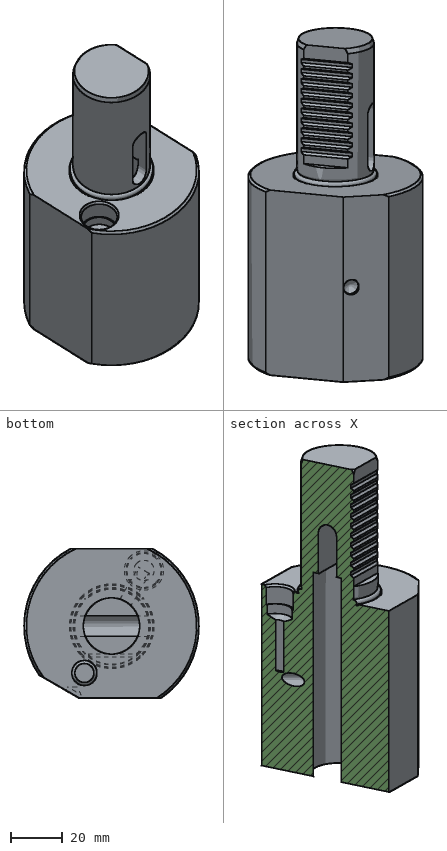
import cadquery as cq
import math


BODY_RADIUS = 33.9
BODY_HEIGHT = 75.0
BODY_CHAMFER = 0.9
BACK_FLAT_Y = 28.0
FRONT_FLAT_Y = -30.0
SLANT_FLAT_DISTANCE = 30.5
COOLANT_ANGLE = 120.0

SHANK_RADIUS = 15.0
SHANK_LENGTH = 55.1
SHANK_CHAMFER_WIDTH = 0.7
SHANK_CHAMFER_HEIGHT = 2.0
SHANK_FLAT_Y = 12.0
SHANK_FLAT_BOTTOM = 7.0

TOOTH_PITCH = 4.0
TOOTH_COUNT = 10
TOOTH_DEPTH = 1.25
FIRST_VALLEY_DROP = 7.1
VALLEY_MOUTH = 3.0
VALLEY_FLOOR = 1.3

RING_TUBE_RADIUS = 1.25
RING_CENTER_RADIUS = 14.9
RING_CENTER_Z = 0.3
RING_SEAT_RADIUS = 16.5
RING_SEAT_DEPTH = 0.5
RELIEF_TOP = 2.4
RELIEF_BOTTOM = 1.5
RELIEF_DEPTH = 0.3

SLOT_WIDTH = 8.0
SLOT_BOTTOM = 3.0
SLOT_LENGTH = 27.0
BORE_RADIUS = 10.9
BORE_TOP = 9.2

INLET_DISTANCE = 25.0
INLET_RADIUS = 7.0
INLET_RIM_WIDTH = 0.7
INLET_RIM_HEIGHT = 0.9
INLET_DEPTH = 7.9
PILOT_RADIUS = 6.6
PILOT_DEPTH = 11.8
PASSAGE_RADIUS = 4.0
DRILL_POINT_ANGLE = 118.0
DRILL_POINT_SLOPE = 1 / math.tan(math.radians(DRILL_POINT_ANGLE / 2))

CROSS_Z = -36.7
CROSS_RADIUS = 2.5
PLUG_RADIUS = 3.0
PLUG_DEPTH = 1.6

NOZZLE_DISTANCE = 21.0
NOZZLE_BASE_RADIUS = 4.9
NOZZLE_TIP_RADIUS = 3.7
NOZZLE_HEIGHT = 1.5

COOLANT_X = math.cos(math.radians(COOLANT_ANGLE))
COOLANT_Y = math.sin(math.radians(COOLANT_ANGLE))


def revolved(points):
    """Solid of revolution about Z from (radius, z) points."""
    return cq.Workplane("XZ").polyline(points).close().revolve(360, (0, 0, 0), (0, 1, 0))


def make_body():
    body = cq.Workplane("XY").circle(BODY_RADIUS).extrude(-BODY_HEIGHT)
    body = body.edges("%CIRCLE").chamfer(BODY_CHAMFER)
    width = 2 * BODY_RADIUS
    flats = (
        cq.Workplane("XY")
        .center(0, (BACK_FLAT_Y + FRONT_FLAT_Y) / 2)
        .rect(2 * width, BACK_FLAT_Y - FRONT_FLAT_Y)
        .extrude(-BODY_HEIGHT)
    )
    slant = (
        cq.Workplane("XY")
        .center(SLANT_FLAT_DISTANCE - width, 0)
        .rect(2 * width, 2 * width)
        .extrude(-BODY_HEIGHT)
        .rotate((0, 0, 0), (0, 0, 1), COOLANT_ANGLE)
    )
    ring_seat = cq.Workplane("XY").circle(RING_SEAT_RADIUS).extrude(-RING_SEAT_DEPTH)
    return body.intersect(flats).intersect(slant).cut(ring_seat)


def make_shank():
    relief_radius = SHANK_RADIUS - RELIEF_DEPTH
    shank = revolved([
        (0, -RING_SEAT_DEPTH),
        (relief_radius, -RING_SEAT_DEPTH),
        (relief_radius, RELIEF_BOTTOM),
        (SHANK_RADIUS, RELIEF_TOP),
        (SHANK_RADIUS, SHANK_LENGTH - SHANK_CHAMFER_HEIGHT),
        (SHANK_RADIUS - SHANK_CHAMFER_WIDTH, SHANK_LENGTH),
        (0, SHANK_LENGTH),
    ])
    flat_cut = cq.Workplane("XY").box(
        2 * SHANK_RADIUS, SHANK_RADIUS, SHANK_LENGTH, centered=(True, False, False)
    )
    return shank.cut(flat_cut.translate((0, SHANK_FLAT_Y, SHANK_FLAT_BOTTOM)))


def make_tooth_valleys():
    """Trapezoid grooves across the shank flat."""
    floor_y = SHANK_FLAT_Y - TOOTH_DEPTH
    valley = (
        cq.Workplane("YZ")
        .polyline([
            (SHANK_FLAT_Y, -VALLEY_MOUTH / 2),
            (floor_y, -VALLEY_FLOOR / 2),
            (floor_y, VALLEY_FLOOR / 2),
            (SHANK_FLAT_Y, VALLEY_MOUTH / 2),
        ])
        .close()
        .extrude(SHANK_RADIUS, both=True)
    )
    first_z = SHANK_LENGTH - FIRST_VALLEY_DROP
    valleys = cq.Workplane("XY")
    for index in range(TOOTH_COUNT):
        valleys = valleys.add(valley.translate((0, 0, first_z - index * TOOTH_PITCH)))
    return valleys.combine()


def make_seal_ring():
    return (
        cq.Workplane("XZ")
        .center(RING_CENTER_RADIUS, RING_CENTER_Z)
        .circle(RING_TUBE_RADIUS)
        .revolve(360, (-RING_CENTER_RADIUS, 0, 0), (-RING_CENTER_RADIUS, 1, 0))
    )


def make_ejector_slot():
    return (
        cq.Workplane("YZ")
        .center(0, SLOT_BOTTOM + SLOT_LENGTH / 2)
        .slot2D(SLOT_LENGTH, SLOT_WIDTH, 90)
        .extrude(SHANK_RADIUS, both=True)
    )


def make_tool_bore():
    bottom = cq.Workplane("XY", origin=(0, 0, -BODY_HEIGHT))
    return bottom.circle(BORE_RADIUS).extrude(BODY_HEIGHT + BORE_TOP)


def make_inlet():
    """Chamfered, stepped inlet with a cone down to a narrower passage ending in a drill point."""
    cone_height = (PILOT_RADIUS - PASSAGE_RADIUS) * DRILL_POINT_SLOPE
    inlet = revolved([
        (0, 0),
        (INLET_RADIUS + INLET_RIM_WIDTH, 0),
        (INLET_RADIUS, -INLET_RIM_HEIGHT),
        (INLET_RADIUS, -INLET_DEPTH),
        (PILOT_RADIUS, -INLET_DEPTH),
        (PILOT_RADIUS, -PILOT_DEPTH),
        (PASSAGE_RADIUS, -PILOT_DEPTH - cone_height),
        (PASSAGE_RADIUS, CROSS_Z + PASSAGE_RADIUS * DRILL_POINT_SLOPE),
        (0, CROSS_Z),
    ])
    return inlet.translate((-INLET_DISTANCE * COOLANT_X, -INLET_DISTANCE * COOLANT_Y, 0))


def make_cross_passage():
    """Horizontal passage from the shank axis to the inlet axis."""
    start = cq.Plane(origin=(0, 0, CROSS_Z), xDir=(0, 0, 1), normal=(-COOLANT_X, -COOLANT_Y, 0))
    return cq.Workplane(start).circle(CROSS_RADIUS).extrude(INLET_DISTANCE)


def make_plug_seat():
    """Shallow blind hole with a drill point, square to the slanted flat."""
    seat = revolved([
        (0, 0),
        (PLUG_RADIUS, 0),
        (PLUG_RADIUS, PLUG_DEPTH),
        (0, PLUG_DEPTH + PLUG_RADIUS * DRILL_POINT_SLOPE),
    ])
    seat = seat.rotate((0, 0, 0), (0, 1, 0), -90)
    seat = seat.translate((SLANT_FLAT_DISTANCE, 0, CROSS_Z))
    return seat.rotate((0, 0, 0), (0, 0, 1), COOLANT_ANGLE)


def make_nozzle():
    nozzle = revolved([
        (0, 0),
        (NOZZLE_BASE_RADIUS, 0),
        (NOZZLE_TIP_RADIUS, -NOZZLE_HEIGHT),
        (0, -NOZZLE_HEIGHT),
    ])
    return nozzle.translate((NOZZLE_DISTANCE * COOLANT_X, NOZZLE_DISTANCE * COOLANT_Y, -BODY_HEIGHT))


shank = make_shank().cut(make_tooth_valleys()).union(make_seal_ring())
result = make_body().union(shank).union(make_nozzle())
result = result.cut(make_ejector_slot()).cut(make_tool_bore())
result = result.cut(make_inlet()).cut(make_cross_passage()).cut(make_plug_seat())